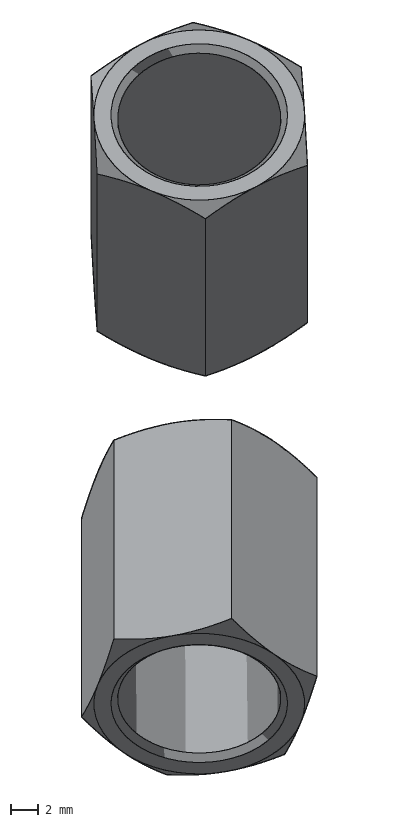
import cadquery as cq
import math

height = 21.0
across_flats = 15.5
bore_diameter = 12.0
countersink_diameter = 12.98
corner_chamfer_angle = 30.0

across_corners = across_flats / math.cos(math.radians(30))
corner_radius = across_corners / 2
face_radius = across_flats / 2
corner_drop = (corner_radius - face_radius) * math.tan(math.radians(corner_chamfer_angle))
bore_radius = bore_diameter / 2
countersink_radius = countersink_diameter / 2
countersink_depth = countersink_radius - bore_radius


def hex_bar():
    """Hexagonal bar with flats facing +X and -X."""
    bar = cq.Workplane("XY").polygon(6, across_corners).extrude(height)
    return bar.rotate((0, 0, 0), (0, 0, 1), 30)


def turned_envelope():
    """Revolved ring: conical outer ends, through bore and a countersink at each end."""
    profile = [
        (countersink_radius, 0),
        (face_radius, 0),
        (corner_radius, corner_drop),
        (corner_radius, height - corner_drop),
        (face_radius, height),
        (countersink_radius, height),
        (bore_radius, height - countersink_depth),
        (bore_radius, countersink_depth),
    ]
    return cq.Workplane("XZ").polyline(profile).close().revolve(360, (0, 0), (0, 1))


result = hex_bar().intersect(turned_envelope())